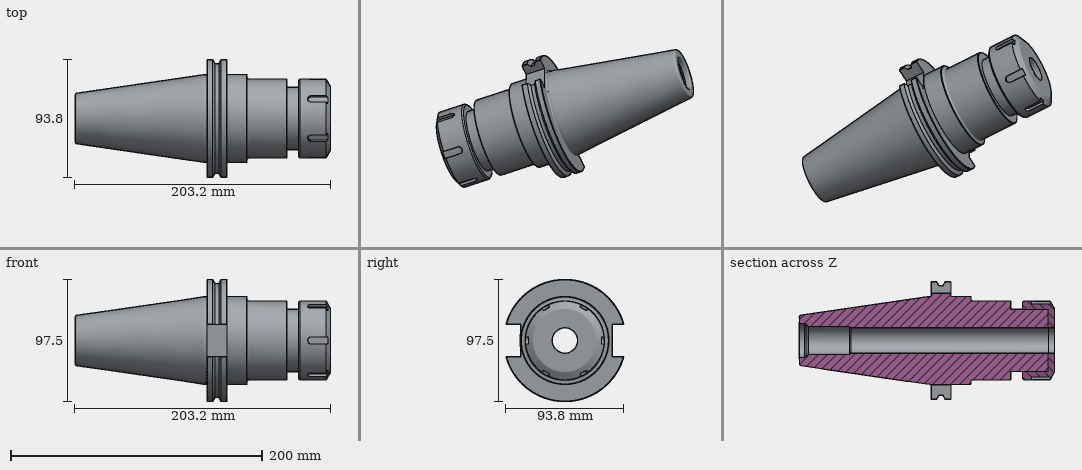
import cadquery as cq
import math


gauge_x = 101.75
flange_start = gauge_x + 3.2
flange_end = gauge_x + 19.1
collar_end = gauge_x + 35.0
barrel_end = 168.5
overall_length = 203.22

gauge_diameter = 69.85
taper_end = gauge_x + 0.5
taper_ratio = 7 / 24
tail_round = 2.0
flange_diameter = 97.5
flange_chamfer = 0.5
flange_root_round = 1.0
collar_diameter = 70.2
collar_chamfer = 0.5
barrel_diameter = 63.0
barrel_root_round = 1.6
barrel_chamfer = 0.5
neck_diameter = 50.0

groove_center_x = gauge_x + 11.0
groove_floor_diameter = 90.9
groove_floor_width = 3.0
groove_flank_angle = 30.0

drive_slot_width = 25.7
drive_slot_rim_width = 26.6
drive_slot_depth_front = 35.3
drive_slot_depth_back = 37.7

bore_diameter = 20.0
entry_diameter = 26.85
entry_depth = 4.4
entry_lip_round = 1.0
seat_diameter = 26.2
seat_end = 5.4
thread_diameter = 22.23
thread_end = 40.0

nut_start = 177.6
nut_diameter = barrel_diameter
nut_rear_chamfer = 1.2
nut_cone_start = 199.6
nut_cone_angle = 30.0
nut_face_round = 2.0
nut_lip = 5.0

wrench_slot_count = 6
wrench_slot_width = 5.7
wrench_slot_start = 185.0
wrench_slot_floor = 29.1

nose_end = overall_length - nut_lip


def revolve_about_x(profile):
    """Turn a profile drawn as (x, radius) a full turn about the X axis."""
    return profile.close().revolve(360, (0, 0, 0), (1, 0, 0))


def cylinder(start, end, diameter):
    return cq.Workplane("YZ", origin=(start, 0, 0)).circle(diameter / 2).extrude(end - start)


def make_taper():
    tail_radius = (gauge_diameter - taper_ratio * taper_end) / 2
    taper = revolve_about_x(
        cq.Workplane("XY")
        .lineTo(0, tail_radius)
        .lineTo(taper_end, gauge_diameter / 2)
        .lineTo(taper_end, 0)
    )
    return taper.faces("<X").edges().fillet(tail_round)


def make_flange_root():
    """Short cylinder past the taper, flaring into the flange with a concave round."""
    radius = gauge_diameter / 2
    return revolve_about_x(
        cq.Workplane("XY")
        .moveTo(taper_end, 0)
        .lineTo(taper_end, radius)
        .lineTo(flange_start - flange_root_round, radius)
        .radiusArc((flange_start, radius + flange_root_round), -flange_root_round)
        .lineTo(flange_start, 0)
    )


def make_groove_cutter():
    rim = flange_diameter / 2
    floor = groove_floor_diameter / 2
    half_floor = groove_floor_width / 2
    half_top = half_floor + (rim - floor) * math.tan(math.radians(groove_flank_angle))
    return revolve_about_x(
        cq.Workplane("XY")
        .moveTo(groove_center_x - half_top, rim)
        .lineTo(groove_center_x - half_floor, floor)
        .lineTo(groove_center_x + half_floor, floor)
        .lineTo(groove_center_x + half_top, rim)
    )


def make_drive_slot(side, depth):
    """Cutter for one drive slot with chamfered rim edges; side is -1 for -Y and +1 for +Y."""
    half_width = drive_slot_width / 2
    half_rim = drive_slot_rim_width / 2
    rim_edge_y = math.sqrt((flange_diameter / 2) ** 2 - half_rim**2)
    chamfer_start_y = rim_edge_y - (half_rim - half_width)
    outside_y = flange_diameter
    outline = [
        (depth, half_width),
        (chamfer_start_y, half_width),
        (rim_edge_y, half_rim),
        (outside_y, half_rim),
        (outside_y, -half_rim),
        (rim_edge_y, -half_rim),
        (chamfer_start_y, -half_width),
        (depth, -half_width),
    ]
    return (
        cq.Workplane("YZ", origin=(flange_start, 0, 0))
        .polyline([(side * y, z) for y, z in outline])
        .close()
        .extrude(flange_end - flange_start)
    )


def make_flange():
    flange = cylinder(flange_start, flange_end, flange_diameter).edges().chamfer(flange_chamfer)
    return (
        flange.cut(make_groove_cutter())
        .cut(make_drive_slot(-1, drive_slot_depth_front))
        .cut(make_drive_slot(1, drive_slot_depth_back))
    )


def make_barrel():
    """Barrel ahead of the collar, with a concave round at its root and a chamfered front edge."""
    radius = barrel_diameter / 2
    return revolve_about_x(
        cq.Workplane("XY")
        .moveTo(collar_end, 0)
        .lineTo(collar_end, radius + barrel_root_round)
        .radiusArc((collar_end + barrel_root_round, radius), -barrel_root_round)
        .lineTo(barrel_end - barrel_chamfer, radius)
        .lineTo(barrel_end, radius - barrel_chamfer)
        .lineTo(barrel_end, 0)
    )


def make_bore_cutter():
    """Through bore, stepped and coned out to a round-lipped mouth at the tail."""
    entry_radius = entry_diameter / 2
    seat_radius = seat_diameter / 2
    thread_radius = thread_diameter / 2
    bore_radius = bore_diameter / 2
    return revolve_about_x(
        cq.Workplane("XY")
        .lineTo(0, entry_radius + entry_lip_round)
        .radiusArc((entry_lip_round, entry_radius), -entry_lip_round)
        .lineTo(entry_depth, entry_radius)
        .lineTo(entry_depth, seat_radius)
        .lineTo(seat_end, seat_radius)
        .lineTo(seat_end + seat_radius - thread_radius, thread_radius)
        .lineTo(thread_end, thread_radius)
        .lineTo(thread_end + thread_radius - bore_radius, bore_radius)
        .lineTo(nose_end, bore_radius)
        .lineTo(nose_end, 0)
    )


def make_holder():
    collar = cylinder(flange_end, collar_end, collar_diameter).faces(">X").edges().chamfer(collar_chamfer)
    neck = cylinder(barrel_end, nose_end, neck_diameter)
    return (
        make_taper()
        .union(make_flange_root())
        .union(make_flange())
        .union(collar)
        .union(make_barrel())
        .union(neck)
        .cut(make_bore_cutter())
    )


def make_wrench_slot():
    """Cutter for the -Y slot: flat floor, rounded rear end, open at the nut face."""
    radius = wrench_slot_width / 2
    round_center = wrench_slot_start + radius
    return (
        cq.Workplane("XZ", origin=(0, -wrench_slot_floor, 0))
        .moveTo(round_center, radius)
        .threePointArc((wrench_slot_start, 0), (round_center, -radius))
        .lineTo(overall_length, -radius)
        .lineTo(overall_length, radius)
        .close()
        .extrude(nut_diameter / 2)
    )


def make_nut():
    radius = nut_diameter / 2
    cone_drop = (overall_length - nut_cone_start) / math.tan(math.radians(nut_cone_angle))
    nut = revolve_about_x(
        cq.Workplane("XY")
        .moveTo(nut_start, 0)
        .lineTo(nut_start, radius - nut_rear_chamfer)
        .lineTo(nut_start + nut_rear_chamfer, radius)
        .lineTo(nut_cone_start, radius)
        .lineTo(overall_length, radius - cone_drop)
        .lineTo(overall_length, 0)
    )
    nut = nut.faces(">X").edges().fillet(nut_face_round)
    for index in range(wrench_slot_count):
        angle = index * 360 / wrench_slot_count
        nut = nut.cut(make_wrench_slot().rotate((0, 0, 0), (1, 0, 0), angle))
    nose_recess = cylinder(nut_start, nose_end, neck_diameter)
    opening = cylinder(nose_end, overall_length, bore_diameter)
    return nut.cut(nose_recess).cut(opening)


holder = make_holder()
nut = make_nut()
result = cq.Compound.makeCompound([holder.val(), nut.val()])